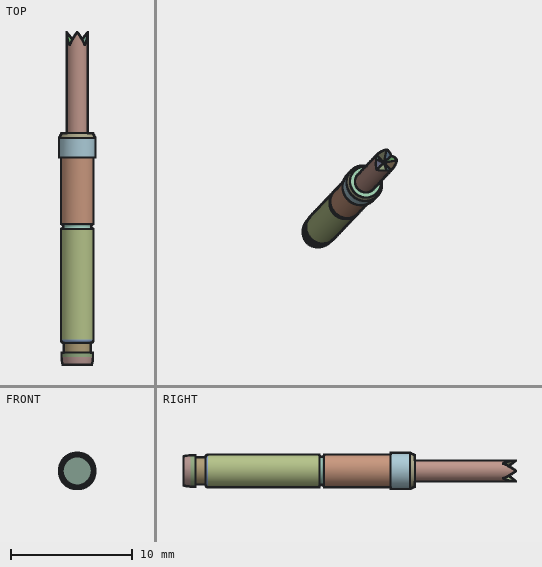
import math

import cadquery as cq


overall_length = 27.3

plunger_diameter = 1.75
groove_angle = 60.0
groove_directions = (45.0, 135.0)

collar_diameter = 3.0
collar_length = 2.0
collar_taper_length = 0.4
collar_taper_depth = 0.2

barrel_diameter = 2.7
barrel_length = 15.2
barrel_rounding = 0.25
crimp_radius = 0.2
crimp_offset = 5.65

tail_length = 17.0
neck_diameter = 2.25
cap_diameter = 2.6
cap_length = 1.0
cap_straight_length = 0.4
cap_end_diameter = 2.4

plunger_radius = plunger_diameter / 2
collar_radius = collar_diameter / 2
barrel_radius = barrel_diameter / 2
neck_radius = neck_diameter / 2
cap_radius = cap_diameter / 2
cap_end_radius = cap_end_diameter / 2
tip_y = overall_length - tail_length
cap_start_y = cap_length - tail_length


def turned_body():
    """Revolve the half profile, X being the radius, about the Y axis."""
    profile = (
        cq.Workplane("XY")
        .moveTo(0, tip_y)
        .lineTo(plunger_radius, tip_y)
        .lineTo(plunger_radius, collar_length)
        .lineTo(collar_radius - collar_taper_depth, collar_length)
        .lineTo(collar_radius, collar_length - collar_taper_length)
        .lineTo(collar_radius, 0)
        .lineTo(barrel_radius, 0)
        .lineTo(barrel_radius, crimp_radius - crimp_offset)
        .threePointArc(
            (barrel_radius - crimp_radius, -crimp_offset),
            (barrel_radius, -crimp_radius - crimp_offset),
        )
        .lineTo(barrel_radius, barrel_rounding - barrel_length)
        .tangentArcPoint((barrel_radius - barrel_rounding, -barrel_length), relative=False)
        .lineTo(neck_radius, -barrel_length)
        .lineTo(neck_radius, cap_start_y)
        .lineTo(cap_radius, cap_start_y)
        .lineTo(cap_radius, cap_start_y - cap_straight_length)
        .tangentArcPoint((cap_end_radius, -tail_length), relative=False)
        .lineTo(0, -tail_length)
        .close()
    )
    return profile.revolve(360, (0, 0, 0), (0, 1, 0))


def crown_groove(direction):
    """V-groove across the tip; its flanks meet the tooth points on the rim."""
    slope = 1 / math.tan(math.radians(groove_angle / 2))
    tooth_offset = plunger_radius / math.sqrt(2)
    bottom_y = tip_y - tooth_offset * slope
    half_width = collar_radius
    top_y = bottom_y + half_width * slope
    groove = (
        cq.Workplane("XY")
        .polyline([(0, bottom_y), (half_width, top_y), (-half_width, top_y)])
        .close()
        .extrude(collar_radius, both=True)
    )
    return groove.rotate((0, 0, 0), (0, 1, 0), direction)


result = turned_body()
for direction in groove_directions:
    result = result.cut(crown_groove(direction))